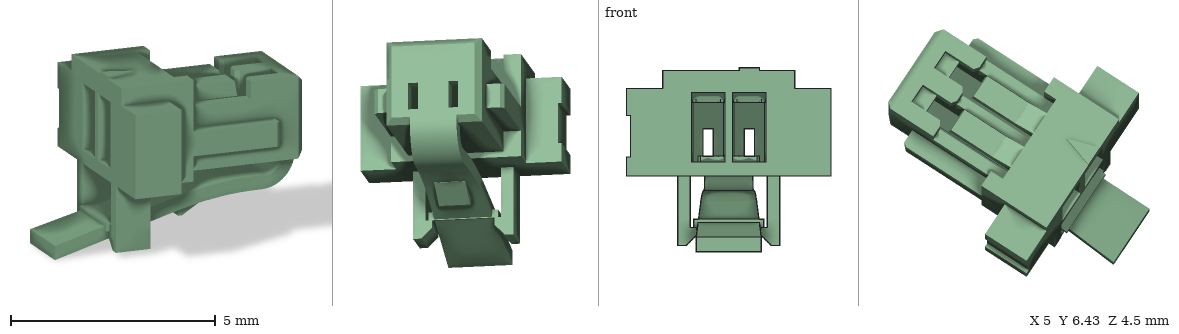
import cadquery as cq
import math


wing_span = 5.0
wing_depth = 1.215
wing_top = 2.14
body_width = 3.23
body_depth = 1.905
body_top = 2.585
side_notch_depth = 0.095
side_notch_bottom = 0.47
side_notch_top = 1.48

block_width = 2.365
block_back = 5.0
block_bottom = 0.14
block_top = 2.245
back_chamfer = 0.155
gap_front = 1.555
gap_back = 3.595
gap_floor = 1.8
rail_back = 4.21
rail_bottom = 0.64
rail_top = 1.25
rail_chamfer = 0.095

cavity_offset = 0.5
opening_width = 0.81
opening_top = 2.045
cavity_width = 0.745
cavity_floor = 0.34
cavity_back = 4.515
roof_lip_length = 0.1
window_width = 0.245
window_top = 1.15

slit_width = 0.51
slit_back = cavity_back
slit_mouth_depth = 0.09
slit_ledge_front = 4.11
slit_ledge_height = 1.975

rib_height = 0.15
rib_low_height = 0.08
rib_corner_width = 0.065
rib_corner_length = rib_corner_width * math.tan(math.radians(60))

lance_width = 0.605
lance_top = 2.185
lance_tip = 3.39
lance_tip_lean = 0.07
lance_ramp_start = 2.1
lance_ramp_slope = 0.34

mark_length = 0.81
mark_width = 0.5
mark_height = 0.065

latch_root_width = 1.16
latch_tip_width = 1.595
latch_root_front = 4.605
latch_tip = -1.43
latch_tip_top = -1.49
latch_tip_bottom = -1.85
latch_inner_curl = 0.38
latch_outer_curl = 0.88
latch_flat_top = -0.36
latch_flat_bottom = -0.715
latch_angle = math.radians(14.8)
latch_bend_length = 1.0
tooth_start = 2.765
tooth_start_height = -0.805
tooth_crest_back = 2.095
tooth_crest_front = 2.0
tooth_bottom = -1.215
tooth_width = 0.77
ledge_width = 1.725
ledge_front = -0.1
ledge_height = 0.2

leg_depth = 0.91
leg_outer = 1.25
leg_inner = 0.94
leg_bottom = -1.705
hook_inner = 0.78
hook_top = -1.255
leg_foot_inner = 1.04
hook_bottom = leg_bottom + leg_foot_inner - hook_inner


def box(x_range, y_range, z_range):
    """Box between two X, two Y and two Z positions."""
    (x0, x1), (y0, y1), (z0, z1) = x_range, y_range, z_range
    return cq.Workplane("XY").box(x1 - x0, y1 - y0, z1 - z0, centered=False).translate((x0, y0, z0))


def centred_box(width, y_range, z_range, centre=0):
    """Box centred in X on the given position."""
    return box((centre - width / 2, centre + width / 2), y_range, z_range)


def side_prism(points, width, centre=0):
    """Outline of (Y, Z) points extruded along X, centred on the given X."""
    return cq.Workplane("YZ").polyline(points).close().extrude(width / 2, both=True).translate((centre, 0, 0))


def plan_prism(points, bottom, top):
    """Outline of (X, Y) points extruded between two heights."""
    return cq.Workplane("XY").workplane(offset=bottom).polyline(points).close().extrude(top - bottom)


def front_body():
    wings = centred_box(wing_span, (0, wing_depth), (0, wing_top))
    notch = box(
        (-wing_span / 2, -wing_span / 2 + side_notch_depth),
        (0, wing_depth),
        (side_notch_bottom, side_notch_top),
    )
    body = centred_box(body_width, (0, body_depth), (0, body_top))
    return wings.cut(notch).union(body)


def rear_block():
    block = centred_box(block_width, (0, block_back), (block_bottom, block_top))
    block = block.faces(">Y").chamfer(back_chamfer)
    rails = centred_box(body_width, (0, rail_back), (rail_bottom, rail_top))
    rails = rails.edges("|Z and >Y").chamfer(rail_chamfer)
    return block.union(rails)


def top_gap():
    return centred_box(block_width, (gap_front, gap_back), (gap_floor, body_top))


def cavity(centre):
    """Contact cavity: a wide mouth, a roof lip and tapered sides, then a narrower straight run."""
    side = side_prism(
        [
            (0, cavity_floor),
            (0, opening_top),
            (gap_front - roof_lip_length, opening_top),
            (gap_front, gap_floor),
            (cavity_back, gap_floor),
            (cavity_back, cavity_floor),
        ],
        opening_width,
        centre,
    )
    wide = opening_width / 2
    narrow = cavity_width / 2
    taper_start = gap_front - (wide - narrow)
    plan = plan_prism(
        [
            (centre - wide, 0),
            (centre - wide, taper_start),
            (centre - narrow, gap_front),
            (centre - narrow, cavity_back),
            (centre + narrow, cavity_back),
            (centre + narrow, gap_front),
            (centre + wide, taper_start),
            (centre + wide, 0),
        ],
        cavity_floor,
        opening_top,
    )
    return side.intersect(plan)


def window(centre):
    """Opening from the cavity through the back wall."""
    return centred_box(
        window_width, (cavity_back, block_back), (cavity_floor + rib_height, window_top), centre
    )


def slit(centre):
    """Slit in the top of the rear block with a flared mouth and a shallow ledge at its back."""
    through = centred_box(slit_width, (gap_back, slit_ledge_front), (gap_floor, block_top), centre)
    ledge = centred_box(slit_width, (slit_ledge_front, slit_back), (slit_ledge_height, block_top), centre)
    mouth = plan_prism(
        [
            (centre - cavity_width / 2, gap_back),
            (centre - slit_width / 2, gap_back + slit_mouth_depth),
            (centre + slit_width / 2, gap_back + slit_mouth_depth),
            (centre + cavity_width / 2, gap_back),
        ],
        gap_floor,
        block_top,
    )
    return through.union(ledge).union(mouth)


def rib(side):
    """Stepped rib on the cavity floor; side is -1 for the left cavity and 1 for the right one."""
    centre = side * cavity_offset
    outer = centre + side * slit_width / 2
    inner = centre - side * slit_width / 2
    wall = centre - side * opening_width / 2
    step = centre + side * window_width / 2
    top = cavity_floor + rib_height
    head = plan_prism(
        [
            (wall, wing_depth),
            (outer - side * rib_corner_width, wing_depth),
            (outer, wing_depth + rib_corner_length),
            (outer, gap_front),
            (wall, gap_front),
        ],
        cavity_floor,
        top,
    )
    run = (gap_front, cavity_back)
    low = centred_box(slit_width, run, (cavity_floor, cavity_floor + rib_low_height), centre)
    high = box((min(step, inner), max(step, inner)), run, (cavity_floor, top))
    return head.union(low).union(high)


def lance(centre):
    """Tongue reaching back from the front body over the cavity."""
    ramp_top = lance_top + lance_ramp_slope * (lance_ramp_start - gap_front)
    return side_prism(
        [
            (gap_front, gap_floor),
            (gap_front, ramp_top),
            (lance_ramp_start, lance_top),
            (lance_tip - lance_tip_lean, lance_top),
            (lance_tip, gap_floor),
        ],
        lance_width,
        centre,
    )


def pin_mark():
    return plan_prism(
        [
            (cavity_offset - mark_width / 2, 0),
            (cavity_offset, mark_length),
            (cavity_offset + mark_width / 2, 0),
        ],
        body_top,
        body_top + mark_height,
    )


def make_housing():
    housing = front_body().union(rear_block()).cut(top_gap())
    for side in (-1, 1):
        centre = side * cavity_offset
        housing = housing.cut(cavity(centre)).cut(window(centre)).cut(slit(centre))
        housing = housing.union(rib(side)).union(lance(centre))
    return housing.union(pin_mark())


def bend(flat_z, tip_z):
    """Start, middle and end (Y, Z) of the arc from a level surface into the sloping arm."""
    corner_y = latch_tip + (flat_z - tip_z) / math.tan(latch_angle)
    radius = latch_bend_length / math.tan(latch_angle / 2)
    start_y = corner_y + latch_bend_length
    points = []
    for angle in (0, latch_angle / 2, latch_angle):
        points.append((start_y - radius * math.sin(angle), flat_z - radius * (1 - math.cos(angle))))
    return points


def arm_surface(wall_y, curl_radius, flat_z, tip_z):
    """Arc points of the quarter-round curl below the root, and of the bend into the straight slope."""
    lean = curl_radius * math.sqrt(0.5)
    curl_y = wall_y - curl_radius
    curl_z = flat_z + curl_radius
    curl = [(wall_y, curl_z), (curl_y + lean, curl_z - lean), (curl_y, flat_z)]
    return curl, bend(flat_z, tip_z)


def latch_arm():
    """Arm curling down from the back of the block and sloping forward, widening to its tip."""
    top_curl, top_bend = arm_surface(latch_root_front, latch_inner_curl, latch_flat_top, latch_tip_top)
    low_curl, low_bend = arm_surface(block_back, latch_outer_curl, latch_flat_bottom, latch_tip_bottom)
    profile = (
        cq.Workplane("YZ")
        .moveTo(block_back, block_bottom + back_chamfer)
        .lineTo(block_back - back_chamfer, block_bottom)
        .lineTo(latch_root_front, block_bottom)
        .lineTo(*top_curl[0])
        .threePointArc(top_curl[1], top_curl[2])
        .lineTo(*top_bend[0])
        .threePointArc(top_bend[1], top_bend[2])
        .lineTo(latch_tip, latch_tip_top)
        .lineTo(latch_tip, latch_tip_bottom)
        .lineTo(*low_bend[2])
        .threePointArc(low_bend[1], low_bend[0])
        .lineTo(*low_curl[2])
        .threePointArc(low_curl[1], low_curl[0])
        .close()
        .extrude(latch_tip_width / 2, both=True)
    )
    root = latch_root_width / 2
    tip = latch_tip_width / 2
    plan = plan_prism(
        [(-root, block_back), (-tip, latch_tip), (tip, latch_tip), (root, block_back)],
        latch_tip_bottom,
        block_bottom + back_chamfer,
    )
    return profile.intersect(plan)


def latch_tooth():
    """Wedge under the arm, its upper side buried in the arm."""
    return side_prism(
        [
            (tooth_start, latch_flat_bottom),
            (tooth_start, tooth_start_height),
            (tooth_crest_back, tooth_bottom),
            (tooth_crest_front, tooth_bottom),
            (tooth_crest_front, latch_flat_bottom),
        ],
        tooth_width,
    )


def latch_ledge():
    """Flat cross plate seated on the hooks of the legs, tying them to the arm."""
    return centred_box(ledge_width, (ledge_front, leg_depth), (hook_top, hook_top + ledge_height))


def leg(side):
    """Leg with an inward hook; side is -1 for the left leg and 1 for the right one."""
    outline = [
        (leg_outer, 0),
        (leg_outer, leg_bottom),
        (leg_foot_inner, leg_bottom),
        (hook_inner, hook_bottom),
        (hook_inner, hook_top),
        (leg_inner, hook_top),
        (leg_inner, 0),
    ]
    points = [(side * x, z) for x, z in outline]
    return cq.Workplane("XZ").polyline(points).close().extrude(-leg_depth)


def make_latch():
    latch = latch_arm().union(latch_tooth()).union(latch_ledge())
    for side in (-1, 1):
        latch = latch.union(leg(side))
    return latch


housing = make_housing()
latch = make_latch()
result = cq.Compound.makeCompound([housing.solids().val(), latch.solids().val()])